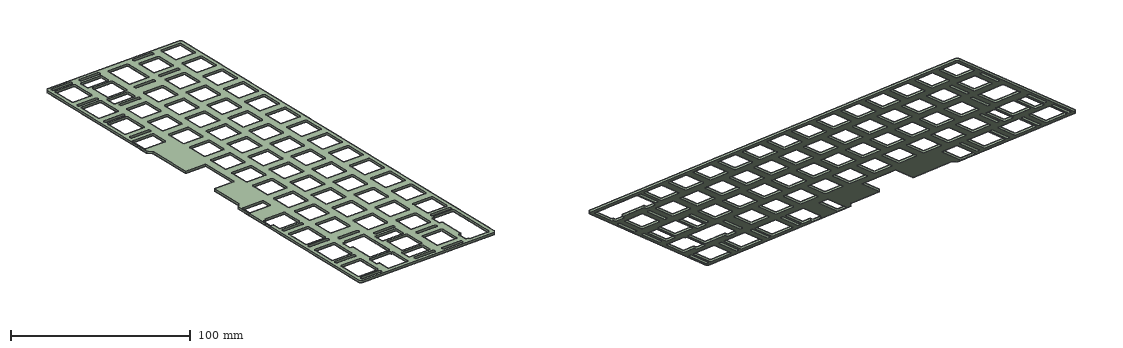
import cadquery as cq

COLUMNS = 15
ROWS = 5
UNIT = 285.8 / COLUMNS
EIGHTH = UNIT / 8
LENGTH = COLUMNS * UNIT
WIDTH = ROWS * UNIT
THICKNESS = 1.5
PLATE_CORNER_RADIUS = 1.7

SWITCH = 14.0
HOLE_CORNER_RADIUS = 0.51

SLOT_WIDTH = 2.15
SLOT_OFFSET = 11.7
WIDE_SLOT_OFFSET = 18.3
BACKSPACE_SLOT_X = 105.5

STABILIZER_WIDTH = SWITCH / 2
STABILIZER_TOP = 6.0
STABILIZER_BOTTOM = 9.0
STABILIZER_OFFSET = 12.0
SPACE_6_OFFSET = 50.0
SPACE_7_OFFSET = 57.2

RECESS_CENTRE = 56
RECESS_LENGTH = 82.5
RECESS_SLOPE = 2.3

KEY_CENTRES = [
    [*range(4, 101, 8), 108, 112, 116],
    [6, *range(16, 105, 8), 114],
    [5, 7, *range(18, 99, 8), 111],
    [9, *range(22, 95, 8), 105, 109, 116],
    [5, 6, 15, 16, 25, 26, 85, 94, 95, 104, 105, 114, 115],
]
SPACE_KEY_CENTRES = [55, 60]

SLOT_PAIRS = [
    (1, 6, SLOT_OFFSET),
    (1, 114, SLOT_OFFSET),
    (2, 7, SLOT_OFFSET),
    (2, 111, WIDE_SLOT_OFFSET),
    (3, 9, WIDE_SLOT_OFFSET),
    (3, 105, SLOT_OFFSET),
    (4, 6, SLOT_OFFSET),
    (4, 26, SLOT_OFFSET),
    (4, 94, SLOT_OFFSET),
    (4, 114, SLOT_OFFSET),
]
STABILIZER_PAIRS = [
    (0, 112, STABILIZER_OFFSET),
    (2, 111, STABILIZER_OFFSET),
    (3, 9, STABILIZER_OFFSET),
    (3, 109, STABILIZER_OFFSET),
    (ROWS - 1, SPACE_KEY_CENTRES[0], SPACE_6_OFFSET),
    (ROWS - 1, SPACE_KEY_CENTRES[1], SPACE_7_OFFSET),
]


def key_x(centre):
    return centre * EIGHTH - LENGTH / 2


def row_y(row):
    return WIDTH / 2 - (row + 0.5) * UNIT


def upright_hole(x, row, width, above=SWITCH / 2, below=SWITCH / 2):
    """Through-cutter with rounded vertical edges, reaching above and below the row centre."""
    return (
        cq.Workplane("XY")
        .center(x, row_y(row) + (above - below) / 2)
        .rect(width, above + below)
        .extrude(THICKNESS / 2, both=True)
        .edges("|Z")
        .fillet(HOLE_CORNER_RADIUS)
    )


def switch_holes():
    return [
        upright_hole(key_x(centre), row, SWITCH)
        for row, centres in enumerate(KEY_CENTRES)
        for centre in centres
    ]


def slots():
    holes = [upright_hole(BACKSPACE_SLOT_X, 0, SLOT_WIDTH)]
    for row, centre, offset in SLOT_PAIRS:
        for side in (-1, 1):
            holes.append(upright_hole(key_x(centre) + side * offset, row, SLOT_WIDTH))
    return holes


def stabilizer_holes():
    return [
        upright_hole(key_x(centre) + side * offset, row, STABILIZER_WIDTH, STABILIZER_TOP, STABILIZER_BOTTOM)
        for row, centre, offset in STABILIZER_PAIRS
        for side in (-1, 1)
    ]


def plate_blank():
    """Plate with rounded corners, the front recess and the space bar switch notch."""
    left, right = -LENGTH / 2, LENGTH / 2
    front, back = -WIDTH / 2, WIDTH / 2
    last_row = row_y(ROWS - 1)
    recess_left = key_x(RECESS_CENTRE) - RECESS_LENGTH / 2
    recess_right = recess_left + RECESS_LENGTH
    recess_back = last_row - SWITCH / 2
    notch_back = last_row + SWITCH / 2
    notch_left = key_x(SPACE_KEY_CENTRES[0]) - SWITCH / 2
    notch_right = key_x(SPACE_KEY_CENTRES[-1]) + SWITCH / 2
    outline = [
        (left, front),
        (recess_left, front),
        (recess_left + RECESS_SLOPE, recess_back),
        (notch_left, recess_back),
        (notch_left, notch_back),
        (notch_right, notch_back),
        (notch_right, recess_back),
        (recess_right - RECESS_SLOPE, recess_back),
        (recess_right, front),
        (right, front),
        (right, back),
        (left, back),
    ]
    blank = cq.Workplane("XY").polyline(outline).close().extrude(THICKNESS / 2, both=True)
    return blank.edges("|Z and (<X or >X)").fillet(PLATE_CORNER_RADIUS)


cutters = [hole.val() for hole in switch_holes() + slots() + stabilizer_holes()]
result = cq.Workplane("XY").newObject([plate_blank().val().cut(*cutters)])